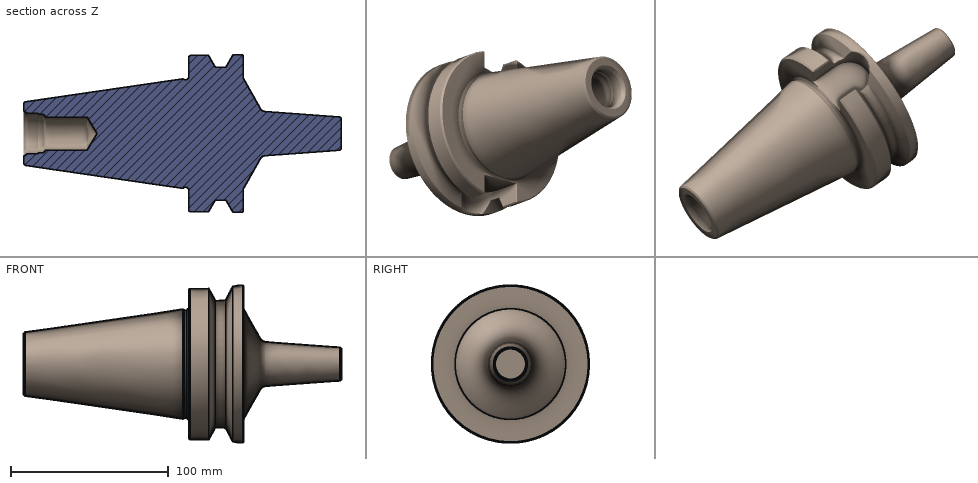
import cadquery as cq
import math

shank_end = 101.1
flange_start = 104.7
front_rim_end = 117.5
rear_rim_start = 132.8
flange_end = 139.6
cone_end = 151.4
total_length = 201.8

shank_large_radius = 35.0
taper_slope = 7 / 48
neck_radius = 34.3
front_rim_radius = 49.8
rear_rim_radius = 50.0
groove_radius = 42.4
cone_large_radius = 35.1
nose_root_radius = 14.3
nose_tip_radius = 10.7

shank_chamfer = 1.0
neck_step = 1.0
neck_flare = 1.2
front_rim_chamfer_length = 1.2
front_rim_chamfer_depth = 0.8
rear_rim_chamfer = 0.6
nose_chamfer = 1.0
nose_fillet = 3.5

slot_width = 26.2
slot_floor = 35.1
slot_end = 136.2
slot_face_chamfer = 0.6
slot_rim_chamfer = 1.0
slot_end_chamfer = 0.8

bore_mouth_radius = 14.3
pilot_radius = 12.7
pilot_start = 2.5
pilot_end = 9.3
relief_radius = 12.1
relief_end = 12.5
thread_radius = 10.3
thread_start = 14.3
thread_end = 40.4
drill_point_angle = 118


def revolve_about_x(points):
    """Revolve an (axial, radial) outline about the X axis."""
    return cq.Workplane("XY").polyline(points).close().revolve(360, (0, 0, 0), (1, 0, 0))


def make_body():
    shank_small_radius = shank_large_radius - shank_end * taper_slope
    flank_ratio = 1 / math.tan(math.radians(60))
    front_flank = (front_rim_radius - groove_radius) * flank_ratio
    rear_flank = (rear_rim_radius - groove_radius) * flank_ratio
    outline = [
        (0, 0),
        (0, shank_small_radius - shank_chamfer),
        (shank_chamfer, shank_small_radius + shank_chamfer * taper_slope),
        (shank_end, shank_large_radius),
        (shank_end + neck_step, neck_radius),
        (flange_start - neck_flare, neck_radius),
        (flange_start, neck_radius + neck_flare),
        (flange_start, front_rim_radius - front_rim_chamfer_depth),
        (flange_start + front_rim_chamfer_length, front_rim_radius),
        (front_rim_end, front_rim_radius),
        (front_rim_end + front_flank, groove_radius),
        (rear_rim_start - rear_flank, groove_radius),
        (rear_rim_start, rear_rim_radius),
        (flange_end - rear_rim_chamfer, rear_rim_radius),
        (flange_end, rear_rim_radius - rear_rim_chamfer),
        (flange_end, cone_large_radius),
        (cone_end, nose_root_radius),
        (total_length - nose_chamfer, nose_tip_radius),
        (total_length, nose_tip_radius - nose_chamfer),
        (total_length, 0),
    ]
    selection_margin = 0.2
    nose_root = cq.selectors.BoxSelector(
        (cone_end - selection_margin, -rear_rim_radius, -rear_rim_radius),
        (cone_end + selection_margin, rear_rim_radius, rear_rim_radius),
    )
    return revolve_about_x(outline).edges(nose_root).fillet(nose_fillet)


def make_bore():
    half_angle = math.radians(drill_point_angle / 2)
    drill_tip = thread_end + thread_radius / math.tan(half_angle)
    return revolve_about_x([
        (0, 0),
        (0, bore_mouth_radius),
        (pilot_start, pilot_radius),
        (pilot_end, pilot_radius),
        (pilot_end, relief_radius),
        (relief_end, relief_radius),
        (thread_start, thread_radius),
        (thread_end, thread_radius),
        (drill_tip, 0),
    ])


def make_slot():
    """Round-ended slot above the axis, with broken edges at the flange rims."""
    half_width = slot_width / 2
    arc_center = slot_end - half_width
    slot_depth = rear_rim_radius - slot_floor
    slot = (
        cq.Workplane("XY", origin=(0, 0, slot_floor))
        .moveTo(flange_start, -half_width)
        .lineTo(arc_center, -half_width)
        .threePointArc((slot_end, 0), (arc_center, half_width))
        .lineTo(flange_start, half_width)
        .close()
        .extrude(slot_depth)
    )
    face_break = (
        cq.Workplane("XY", origin=(0, 0, slot_floor))
        .polyline([
            (flange_start, -half_width - slot_face_chamfer),
            (flange_start, half_width + slot_face_chamfer),
            (flange_start + slot_face_chamfer, half_width),
            (flange_start + slot_face_chamfer, -half_width),
        ])
        .close()
        .extrude(slot_depth)
    )
    wall_top = math.sqrt(front_rim_radius**2 - half_width**2)
    rim_break = (
        cq.Workplane("YZ", origin=(flange_start, 0, 0))
        .polyline([
            (-half_width, wall_top - slot_rim_chamfer),
            (half_width, wall_top - slot_rim_chamfer),
            (half_width + 2 * slot_rim_chamfer, wall_top + slot_rim_chamfer),
            (-half_width - 2 * slot_rim_chamfer, wall_top + slot_rim_chamfer),
        ])
        .close()
        .extrude(front_rim_end - flange_start)
    )
    end_break = (
        cq.Workplane("XY", origin=(arc_center, 0, rear_rim_radius - slot_end_chamfer))
        .circle(half_width)
        .workplane(offset=slot_end_chamfer)
        .circle(half_width + slot_end_chamfer)
        .loft()
    )
    return slot.union(face_break).union(rim_break).union(end_break)


result = make_body().cut(make_bore())
for angle in (0, 180):
    result = result.cut(make_slot().rotate((0, 0, 0), (1, 0, 0), angle))